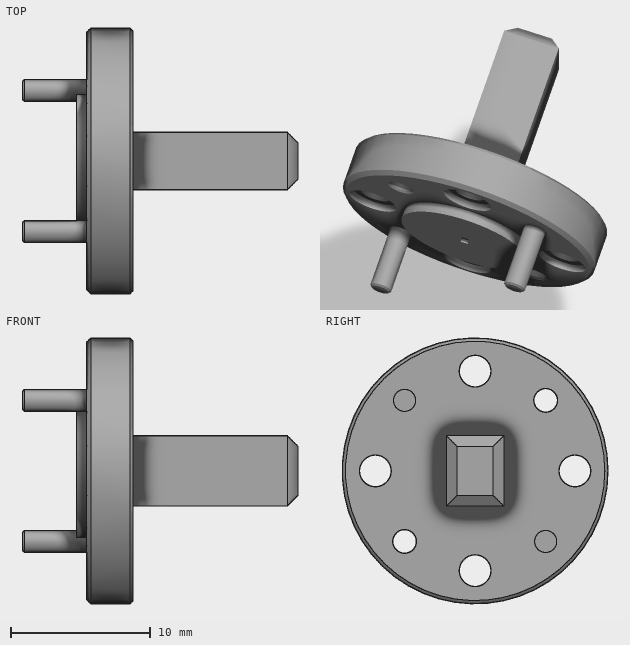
import cadquery as cq
import math

flange_diameter = 19.05
flange_front = 4.6
flange_thickness = 3.34
flange_back = flange_front + flange_thickness
front_chamfer = 0.3
back_chamfer = 0.24

boss_diameter = 9.51
boss_height = 0.73
boss_front = flange_front - boss_height

bar_end = 19.74
bar_width = 4.13
bar_height = 5.05
bar_chamfer = 0.77

guide_width = 0.55
guide_height = 1.1
guide_depth = 0.25

bolt_circle_radius = 7.15
screw_diameter = 2.25
counterbore_diameter = 3.55
counterbore_depth = 0.51
alignment_diameter = 1.68
alignment_chamfer = 0.14

pin_diameter = 1.58
pin_chamfer = 0.14
pin_length = flange_back

screw_angles = [0, 90, 180, 270]
pin_angles = [135, 315]
alignment_angles = [45, 225]


def cylinder(x_start, length, diameter, y=0.0, z=0.0):
    """Cylinder along +X from x_start."""
    plane = cq.Plane(origin=(x_start, y, z), xDir=(0, 1, 0), normal=(1, 0, 0))
    return cq.Workplane(plane).circle(diameter / 2).extrude(length)


def box(x_start, length, width, height):
    """Rectangular block along +X, centred on the X axis."""
    return cq.Workplane("YZ", origin=(x_start, 0, 0)).rect(width, height).extrude(length)


def circle_position(angle):
    """(y, z) of a hole on the bolt circle, measured from +Y toward +Z."""
    radians = math.radians(angle)
    return bolt_circle_radius * math.cos(radians), bolt_circle_radius * math.sin(radians)


def screw_hole(angle):
    """Through hole with a counterbore in the front face."""
    y, z = circle_position(angle)
    hole = cylinder(flange_front, flange_thickness, screw_diameter, y, z)
    counterbore = cylinder(flange_front, counterbore_depth, counterbore_diameter, y, z)
    return hole.union(counterbore)


def chamfered_hole(angle, diameter, chamfer):
    """Through hole with a chamfered rim on the front face."""
    y, z = circle_position(angle)
    hole = cylinder(flange_front, flange_thickness, diameter, y, z)
    cone = cq.Workplane(
        cq.Solid.makeCone(
            diameter / 2 + chamfer, diameter / 2, chamfer,
            pnt=cq.Vector(flange_front, y, z), dir=cq.Vector(1, 0, 0),
        )
    )
    return hole.union(cone)


def make_housing():
    """Flange, boss and bar in one piece, with all holes cut."""
    flange = cylinder(flange_front, flange_thickness, flange_diameter)
    flange = flange.faces("<X").chamfer(front_chamfer)
    flange = flange.faces(">X").chamfer(back_chamfer)
    boss = cylinder(boss_front, boss_height, boss_diameter)
    bar = box(flange_back, bar_end - flange_back, bar_width, bar_height)
    bar = bar.faces(">X").chamfer(bar_chamfer)
    housing = flange.union(boss).union(bar)

    housing = housing.cut(box(boss_front, guide_depth, guide_width, guide_height))
    for angle in screw_angles:
        housing = housing.cut(screw_hole(angle))
    for angle in alignment_angles:
        housing = housing.cut(chamfered_hole(angle, alignment_diameter, alignment_chamfer))
    for angle in pin_angles:
        housing = housing.cut(chamfered_hole(angle, pin_diameter, alignment_chamfer))
    return housing


def make_pin(angle):
    """Alignment pin with a chamfered tip, flush with the back of the flange."""
    y, z = circle_position(angle)
    return cylinder(0, pin_length, pin_diameter, y, z).faces("<X").chamfer(pin_chamfer)


housing = make_housing()
pins = [make_pin(angle) for angle in pin_angles]

result = cq.Compound.makeCompound([housing.val(), *[pin.val() for pin in pins]])